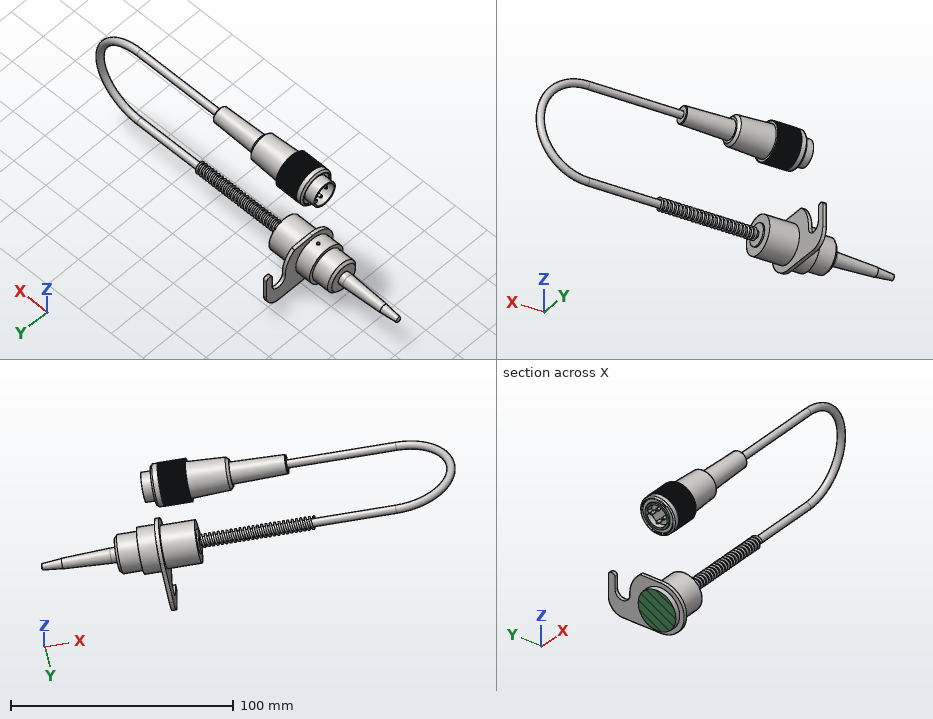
import cadquery as cq
import math

bend_radius = 25.0
plug_axis_z = 2 * bend_radius
overall_length = 189.6

tip_dome_diameter = 3.0
tip_dome_height = 0.5
tip_nose_diameter = 4.7
tip_nose_end_x = 9.7
tip_cone_diameter = 5.0
tip_root_diameter = 7.0
tip_cone_end_x = 32.0

housing_start_x = 34.9
housing_diameter = 18.0
housing_chamfer = 1.3
collar_start_x = 45.7
collar_diameter = 21.6
vent_x = 50.8
vent_diameter = 1.5
vent_depth = 1.9

plate_start_x = 54.5
plate_thickness = 1.9
plate_diameter = 26.7
plate_radius = plate_diameter / 2

sleeve_start_x = plate_start_x + plate_thickness
sleeve_end_x = 72
sleeve_diameter = 20.0
sleeve_boss_diameter = 11.4
sleeve_boss_end_x = 72.8

hook_overall_width = 43.0
hook_end_y = hook_overall_width - plate_radius
hook_finger_width = 3.8
hook_finger_top_z = 8.2
hook_finger_fillet = 1.5
hook_corner_radius = 8.3
hook_slot_radius = 4.2
hook_neck_y = 11.5
hook_neck_bulge_y = 16.0
hook_neck_bulge_z = 8.0

cable_diameter = 3.8
spring_wire_diameter = 1.0
spring_outer_diameter = 6.3
spring_pitch = 2.0
spring_end_x = 126.0
spring_start_angle = 113

shell_start_x = 46.8
shell_diameter = 13.8
shell_bore_diameter = 10.6
shell_mouth_diameter = 12.1
shell_bore_depth = 7.5
key_diameter = 2.0
key_center_radius = 5.7
pin_diameter = 1.5
pin_circle_radius = 3.5
pin_count = 4
pin_chamfer = 0.25
pin_recess = 1.9

nut_start_x = 51.5
nut_knurl_start_x = 55
nut_end_x = 67.7
nut_diameter = 20.0
nut_land_diameter = 19.7
nut_chamfer = 1.0
nut_recess_diameter = 17
nut_recess_depth = 1.0
knurl_groove_depth = 0.28
knurl_groove_count = 120

boot_diameter = 16.9
boot_shoulder_diameter = 15.2
boot_shoulder_x = 85.7
boot_shoulder_chamfer = 1.3
relief_start_diameter = 10.2
relief_end_diameter = 9.0
relief_end_x = 112.7
relief_chamfer = 0.4


def turned(profile, axis_z=0):
    """Solid of revolution of a closed (x, radius) outline about the line y = 0, z = axis_z."""
    outline = cq.Workplane("XZ").polyline(profile).close()
    return outline.revolve(360, (0, 0, 0), (1, 0, 0)).translate((0, 0, axis_z))


def rod(diameter, start_x, end_x, y=0, z=0):
    """Cylinder parallel to X."""
    plane = cq.Workplane("YZ", origin=(start_x, y, z))
    return plane.circle(diameter / 2).extrude(end_x - start_x)


def make_tip():
    dome_radius = tip_dome_diameter / 2
    ball_radius = (dome_radius**2 + tip_dome_height**2) / (2 * tip_dome_height)
    half_angle = math.asin(dome_radius / ball_radius) / 2
    dome_middle = (ball_radius * (1 - math.cos(half_angle)), ball_radius * math.sin(half_angle))
    return (
        cq.Workplane("XZ")
        .moveTo(0, 0)
        .threePointArc(dome_middle, (tip_dome_height, dome_radius))
        .lineTo(tip_nose_end_x, tip_nose_diameter / 2)
        .lineTo(tip_nose_end_x, tip_cone_diameter / 2)
        .lineTo(tip_cone_end_x, tip_root_diameter / 2)
        .lineTo(housing_start_x, tip_root_diameter / 2)
        .lineTo(housing_start_x, 0)
        .close()
        .revolve(360, (0, 0, 0), (1, 0, 0))
    )


def make_housing():
    body = rod(housing_diameter, housing_start_x, collar_start_x).faces("<X").chamfer(housing_chamfer)
    collar = rod(collar_diameter, collar_start_x, plate_start_x)
    vent = (
        cq.Workplane("XY", origin=(vent_x, 0, collar_diameter / 2 - vent_depth))
        .circle(vent_diameter / 2)
        .extrude(2 * vent_depth)
    )
    return body.union(collar).cut(vent)


def make_hook_plate():
    slot_outer_y = hook_end_y - hook_finger_width
    slot_center_y = slot_outer_y - hook_slot_radius
    slot_inner_y = slot_center_y - hook_slot_radius
    corner_y = hook_end_y - hook_corner_radius
    corner_z = hook_corner_radius - plate_radius
    corner_reach = hook_corner_radius * math.sqrt(0.5)
    plate = (
        cq.Workplane("YZ", origin=(plate_start_x, 0, 0))
        .moveTo(0, -plate_radius)
        .threePointArc((-plate_radius, 0), (0, plate_radius))
        .lineTo(hook_neck_y, plate_radius)
        .threePointArc((hook_neck_bulge_y, hook_neck_bulge_z), (slot_inner_y, 0))
        .threePointArc((slot_center_y, -hook_slot_radius), (slot_outer_y, 0))
        .lineTo(slot_outer_y, hook_finger_top_z)
        .lineTo(hook_end_y, hook_finger_top_z)
        .lineTo(hook_end_y, corner_z)
        .threePointArc((corner_y + corner_reach, corner_z - corner_reach), (corner_y, -plate_radius))
        .close()
        .extrude(plate_thickness)
    )
    margin = hook_finger_width / 2
    finger_corners = cq.selectors.BoxSelector(
        (plate_start_x - margin, slot_outer_y - margin, hook_finger_top_z - margin),
        (sleeve_start_x + margin, hook_end_y + margin, hook_finger_top_z + margin),
    )
    return plate.edges("|X").edges(finger_corners).fillet(hook_finger_fillet)


def make_sleeve():
    barrel = rod(sleeve_diameter, sleeve_start_x, sleeve_end_x)
    boss = rod(sleeve_boss_diameter, sleeve_end_x, sleeve_boss_end_x)
    return barrel.union(boss)


def make_spring():
    coil_radius = (spring_outer_diameter - spring_wire_diameter) / 2
    start_x = sleeve_boss_end_x + spring_wire_diameter / 2
    coil_length = spring_end_x - spring_wire_diameter / 2 - start_x
    path = cq.Wire.makeHelix(spring_pitch, coil_length, coil_radius)
    coil = (
        cq.Workplane("XZ", origin=(coil_radius, 0, 0))
        .circle(spring_wire_diameter / 2)
        .sweep(path, isFrenet=True)
    )
    coil = coil.rotate((0, 0, 0), (0, 1, 0), 90)
    return coil.rotate((0, 0, 0), (1, 0, 0), spring_start_angle + 90).translate((start_x, 0, 0))


def make_cable():
    bend_center_x = overall_length - cable_diameter / 2 - bend_radius
    path = (
        cq.Workplane("XZ")
        .moveTo(sleeve_boss_end_x, 0)
        .lineTo(bend_center_x, 0)
        .threePointArc((bend_center_x + bend_radius, bend_radius), (bend_center_x, plug_axis_z))
        .lineTo(relief_end_x, plug_axis_z)
    )
    return cq.Workplane("YZ", origin=(sleeve_boss_end_x, 0, 0)).circle(cable_diameter / 2).sweep(path)


def make_plug():
    shoulder_radius = boot_shoulder_diameter / 2
    relief_radius = relief_end_diameter / 2
    relief_start_x = boot_shoulder_x + boot_shoulder_chamfer
    body = turned(
        [
            (shell_start_x, 0),
            (shell_start_x, shell_diameter / 2),
            (nut_end_x, shell_diameter / 2),
            (nut_end_x, boot_diameter / 2),
            (boot_shoulder_x, shoulder_radius),
            (relief_start_x, shoulder_radius - boot_shoulder_chamfer),
            (relief_start_x, relief_start_diameter / 2),
            (relief_end_x - relief_chamfer, relief_radius),
            (relief_end_x, relief_radius - relief_chamfer),
            (relief_end_x, 0),
        ],
        plug_axis_z,
    )
    floor_x = shell_start_x + shell_bore_depth
    bore = turned(
        [
            (shell_start_x, 0),
            (shell_start_x, shell_mouth_diameter / 2),
            (floor_x, shell_bore_diameter / 2),
            (floor_x, 0),
        ],
        plug_axis_z,
    )
    key = rod(key_diameter, shell_start_x, floor_x, key_center_radius, plug_axis_z)
    plug = body.cut(bore).union(key)
    for i in range(pin_count):
        angle = 2 * math.pi * i / pin_count
        pin_y = pin_circle_radius * math.cos(angle)
        pin_z = plug_axis_z + pin_circle_radius * math.sin(angle)
        pin = rod(pin_diameter, shell_start_x + pin_recess, floor_x, pin_y, pin_z)
        plug = plug.union(pin.faces("<X").chamfer(pin_chamfer))
    return plug


def make_nut():
    bore_radius = shell_diameter / 2
    recess_end_x = nut_start_x + nut_recess_depth
    land_radius = nut_land_diameter / 2
    nut = turned(
        [
            (recess_end_x, bore_radius),
            (recess_end_x, nut_recess_diameter / 2),
            (nut_start_x, nut_recess_diameter / 2),
            (nut_start_x, land_radius - nut_chamfer),
            (nut_start_x + nut_chamfer, land_radius),
            (nut_knurl_start_x, land_radius),
            (nut_knurl_start_x, bore_radius),
        ],
        plug_axis_z,
    )
    tip_radius = nut_diameter / 2
    root_radius = tip_radius - knurl_groove_depth
    teeth = []
    for i in range(2 * knurl_groove_count):
        radius = root_radius if i % 2 else tip_radius
        angle = math.pi * i / knurl_groove_count
        teeth.append((radius * math.cos(angle), radius * math.sin(angle)))
    knurl = (
        cq.Workplane("YZ", origin=(nut_knurl_start_x, 0, plug_axis_z))
        .polyline(teeth)
        .close()
        .circle(bore_radius)
        .extrude(nut_end_x - nut_knurl_start_x)
    )
    return nut.union(knurl)


tip = make_tip()
housing = make_housing()
hook_plate = make_hook_plate()
sleeve = make_sleeve()
spring = make_spring()
cable = make_cable()
plug = make_plug()
nut = make_nut()

result = cq.Compound.makeCompound(
    [
        tip.val(),
        housing.val(),
        hook_plate.val(),
        sleeve.val(),
        spring.val(),
        cable.val(),
        plug.val(),
        nut.val(),
    ]
)